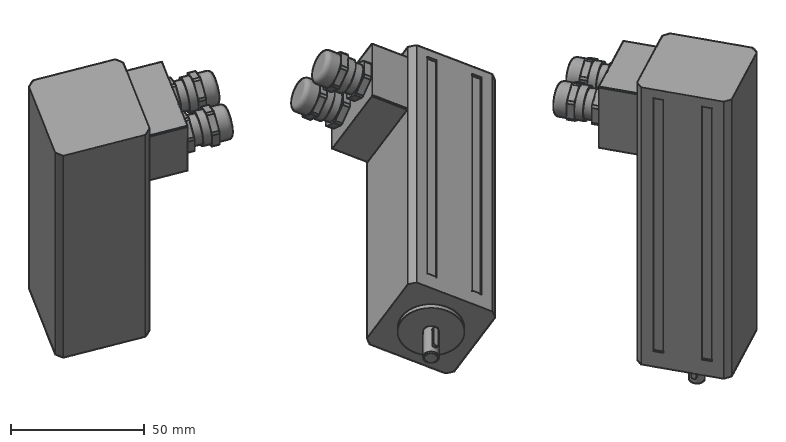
import cadquery as cq
import math


housing_width = 37.0
housing_length = 126.0
housing_corner_diameter = 49.0
pilot_diameter = 25.0
pilot_length = 2.0
shaft_diameter = 6.0
shaft_length = 14.0
shaft_chamfer = 0.5

groove_width = 4.0
groove_length = 115.0
groove_depth = 1.0
groove_spacing = 19.0
groove_top_margin = 4.0

key_width = 2.0
key_length = 10.0
key_height = 2.0
key_protrusion = 1.0
key_gap = 1.0

box_width = 32.0
box_depth = 15.0
box_height = 28.0
box_top_margin = 5.0
box_edge_chamfer = 0.4

gland_spacing = 16.5
gland_diameter = 13.6
neck_diameter = 12.0
hex_across_flats = 14.0
hex_corner_diameter = 15.5
hex_half_angle = 30.0
base_hex_length = 3.0
neck_length = 3.5
collar_length = 3.3
nut_hex_length = 3.0
cap_length = 5.8
cap_fillet = 2.0

housing_side = housing_width / 2
box_outer_face = housing_side + box_depth
box_center_z = housing_length - box_top_margin - box_height / 2
shaft_radius = shaft_diameter / 2
key_top = shaft_radius + key_protrusion
key_center_z = -pilot_length - key_gap - key_length / 2


def make_key():
    """Round-ended key, its flat bottom inside the shaft."""
    return (
        cq.Workplane("YZ", origin=(-key_top, 0, key_center_z))
        .slot2D(key_length, key_width, 90)
        .extrude(key_height)
    )


def make_motor(key):
    """Housing with pilot and shaft, cut by the side grooves and the key seat."""
    housing = (
        cq.Workplane("XY")
        .rect(housing_width, housing_width)
        .extrude(housing_length)
        .intersect(
            cq.Workplane("XY").circle(housing_corner_diameter / 2).extrude(housing_length)
        )
    )
    pilot = cq.Workplane("XY").circle(pilot_diameter / 2).extrude(-pilot_length)
    shaft = (
        cq.Workplane("XY", origin=(0, 0, -pilot_length))
        .circle(shaft_radius)
        .extrude(-shaft_length)
        .faces("<Z")
        .chamfer(shaft_chamfer)
    )
    groove_center_z = housing_length - groove_top_margin - groove_length / 2
    grooves = (
        cq.Workplane("YZ", origin=(-housing_side, 0, groove_center_z))
        .rarray(groove_spacing, 1, 2, 1)
        .rect(groove_width, groove_length)
        .extrude(groove_depth)
    )
    return housing.union(pilot).union(shaft).cut(grooves).cut(key)


def make_terminal_box():
    """Block on the housing side with its four Y edges broken."""
    return (
        cq.Workplane("XZ", origin=(0, housing_side, box_center_z))
        .rect(box_width, box_height)
        .extrude(-box_depth)
        .edges("|Y")
        .chamfer(box_edge_chamfer)
    )


def make_round(start, length, diameter):
    """Cylinder along +Y that begins at Y = start."""
    return cq.Workplane("XZ", origin=(0, start, 0)).circle(diameter / 2).extrude(-length)


def make_hex(start, length):
    """Hexagon along +Y with flats facing X and its corners turned down to a circle."""
    hexagon = (
        cq.Workplane("XZ", origin=(0, start, 0))
        .transformed(rotate=(0, 0, hex_half_angle))
        .polygon(6, hex_across_flats / math.cos(math.radians(hex_half_angle)))
        .extrude(-length)
    )
    return hexagon.intersect(make_round(start, length, hex_corner_diameter))


def make_gland(x):
    """Cable gland: base hexagon, neck, collar, nut hexagon and rounded cap."""
    neck_start = base_hex_length
    collar_start = neck_start + neck_length
    nut_start = collar_start + collar_length
    cap_start = nut_start + nut_hex_length
    cap = make_round(cap_start, cap_length, gland_diameter).faces(">Y").edges().fillet(cap_fillet)
    gland = (
        make_hex(0, base_hex_length)
        .union(make_round(neck_start, neck_length, neck_diameter))
        .union(make_round(collar_start, collar_length, gland_diameter))
        .union(make_hex(nut_start, nut_hex_length))
        .union(cap)
    )
    return gland.translate((x, box_outer_face, box_center_z))


key = make_key()
motor = make_motor(key)
terminal_box = make_terminal_box()
glands = [make_gland(side * gland_spacing / 2) for side in (-1, 1)]

result = cq.Compound.makeCompound(
    [motor.val(), key.val(), terminal_box.val(), *[gland.val() for gland in glands]]
)